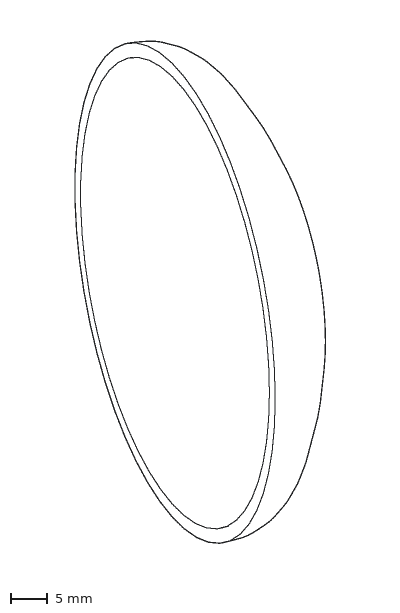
import cadquery as cq
import math

outer_radius = 34.5
height = 17.5
wall = 2.0
rim_height = 0.7
shoulder_radius = 8.55

shoulder_x = outer_radius - shoulder_radius
rise = height - rim_height
dome_radius = (shoulder_x**2 + rise**2 - shoulder_radius**2) / (2 * (rise - shoulder_radius))
dome_center_y = height - dome_radius

seam_angle = math.atan2(rim_height - dome_center_y, shoulder_x)


def arc_point(center_x, center_y, radius, angle):
    """Point on a circle in the XY profile plane."""
    return (center_x + radius * math.cos(angle), center_y + radius * math.sin(angle))


def solid_cap(offset):
    """Filled cap whose surface lies inward of the outer surface by the given offset."""
    shoulder = shoulder_radius - offset
    dome = dome_radius - offset
    dome_mid_angle = (seam_angle + math.pi / 2) / 2
    profile = (
        cq.Workplane("XY")
        .lineTo(outer_radius - offset, 0)
        .lineTo(outer_radius - offset, rim_height)
        .threePointArc(
            arc_point(shoulder_x, rim_height, shoulder, seam_angle / 2),
            arc_point(shoulder_x, rim_height, shoulder, seam_angle),
        )
        .threePointArc(
            arc_point(0, dome_center_y, dome, dome_mid_angle),
            (0, height - offset),
        )
        .close()
    )
    return profile.revolve(360, (0, 0, 0), (0, 1, 0))


result = solid_cap(0).cut(solid_cap(wall))